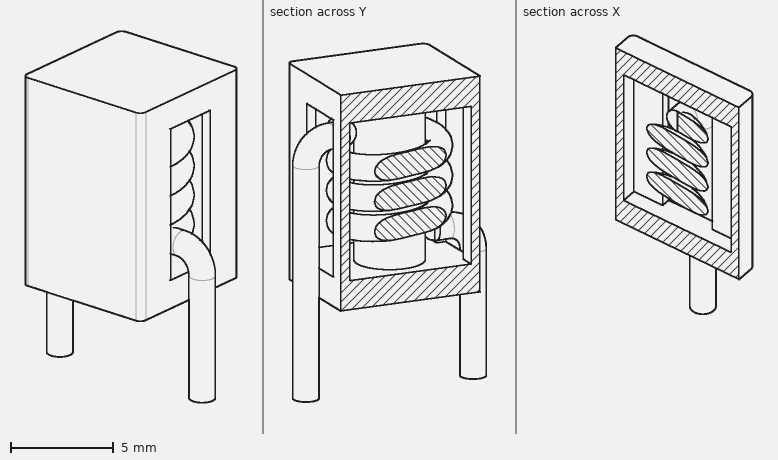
import cadquery as cq
import math

HOUSING_WIDTH = 7.5
HOUSING_HEIGHT = 11.0
CORNER_RADIUS = 0.34
SIDE_WALL = 0.5
END_WALL = 1.5
WINDOW_WIDTH = 3.02
POST_DIAMETER = 3.5

OVERALL_LENGTH = 10.3
WIRE_DIAMETER = 1.3
LEG_DROP = 5.0
BEND_RADIUS = 1.33
COIL_CLEARANCE = 0.03
COIL_PITCH = 1.54
COIL_TURNS = 3.5

WIRE_RADIUS = WIRE_DIAMETER / 2
CAVITY_WIDTH = HOUSING_WIDTH - 2 * SIDE_WALL
CAVITY_HEIGHT = HOUSING_HEIGHT - 2 * END_WALL
COIL_HEIGHT = COIL_PITCH * COIL_TURNS
COIL_RADIUS = POST_DIAMETER / 2 + COIL_CLEARANCE + WIRE_RADIUS
COIL_BOTTOM = (HOUSING_HEIGHT - COIL_HEIGHT) / 2
COIL_TOP = COIL_BOTTOM + COIL_HEIGHT
LEG_OFFSET = OVERALL_LENGTH / 2 - WIRE_RADIUS


def make_housing():
    """Block standing on Z = 0, with a core post left inside its cavity."""
    block = cq.Workplane("XY").rect(HOUSING_WIDTH, HOUSING_WIDTH).extrude(HOUSING_HEIGHT)
    block = block.edges("|Z").fillet(CORNER_RADIUS)
    cavity_floor = cq.Workplane("XY").workplane(offset=END_WALL)
    cavity = cavity_floor.rect(CAVITY_WIDTH, CAVITY_WIDTH).extrude(CAVITY_HEIGHT)
    windows = cavity_floor.rect(HOUSING_WIDTH, WINDOW_WIDTH).extrude(CAVITY_HEIGHT)
    post = cavity_floor.circle(POST_DIAMETER / 2).extrude(CAVITY_HEIGHT)
    return block.cut(cavity.union(windows).cut(post))


def make_coil():
    """Right-handed coil that starts on the +X side and ends on the -X side."""
    helix = cq.Wire.makeHelix(COIL_PITCH, COIL_HEIGHT, COIL_RADIUS)
    section = cq.Workplane("XZ").center(COIL_RADIUS, 0).circle(WIRE_RADIUS)
    coil = section.sweep(cq.Workplane(helix), isFrenet=True)
    return coil.translate((0, 0, COIL_BOTTOM))


def make_leg(side, height):
    """Leg on the given X side (1 or -1) that bends in to meet the coil at this height."""
    bend_drop = BEND_RADIUS * (1 - math.cos(math.radians(45)))
    path = (
        cq.Workplane("XZ")
        .moveTo(side * LEG_OFFSET, -LEG_DROP)
        .lineTo(side * LEG_OFFSET, height - BEND_RADIUS)
        .threePointArc(
            (side * (LEG_OFFSET - bend_drop), height - bend_drop),
            (side * (LEG_OFFSET - BEND_RADIUS), height),
        )
        .lineTo(side * COIL_RADIUS, height)
    )
    foot = cq.Workplane("XY", origin=(side * LEG_OFFSET, 0, -LEG_DROP))
    return foot.circle(WIRE_RADIUS).sweep(path)


def make_wire():
    """One continuous wire: the low leg, the coil and the high leg."""
    return make_coil().union(make_leg(1, COIL_BOTTOM)).union(make_leg(-1, COIL_TOP))


housing = make_housing()
wire = make_wire()
result = cq.Compound.makeCompound([housing.solids().val(), wire.solids().val()])